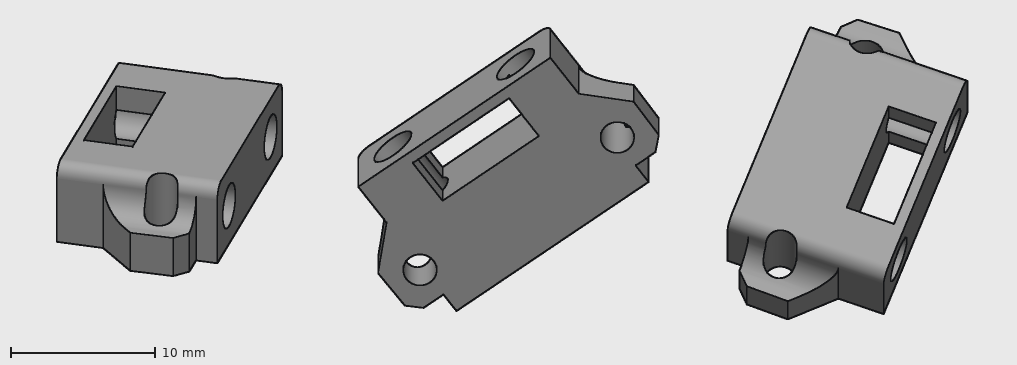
import cadquery as cq

width = 11.58
length = 21.93
height = 6.0
half_length = length / 2

body_length = 16.5
half_body = body_length / 2
edge_radius = 1.0

ear_height = 3.0
ear_root_x = 3.35
ear_tip_x = 6.07
ear_bevel_x = 9.15
ear_end_x = 10.05
ear_tip_drop = 0.07
ear_bevel_y = 9.95
root_radius = height - edge_radius - ear_height

screw_x = 7.59
screw_y = 8.46
screw_diameter = 2.32

bore_y = 5.26
bore_z = height / 2
bore_diameter = 3.2
window_start_x = 0.8
window_width = 3.5
window_length = 8.27


def make_body():
    """Plain block with rounded long top edges."""
    block = cq.Workplane("XY").box(width, body_length, height, centered=(False, True, False))
    return block.edges("|X and >Z").fillet(edge_radius)


def make_ear():
    """Ear on the +Y side, its top sweeping up to the body in a concave arc."""
    outline = (
        cq.Workplane("XY")
        .moveTo(ear_root_x, 0)
        .lineTo(ear_root_x, half_body)
        .lineTo(ear_tip_x, half_length)
        .lineTo(ear_bevel_x, half_length - ear_tip_drop)
        .lineTo(ear_end_x, ear_bevel_y)
        .lineTo(ear_end_x, 0)
        .close()
        .extrude(height)
    )
    root_top = ear_height + root_radius
    side_profile = (
        cq.Workplane("YZ")
        .lineTo(half_length, 0)
        .lineTo(half_length, ear_height)
        .lineTo(half_body + root_radius, ear_height)
        .radiusArc((half_body, root_top), root_radius)
        .lineTo(0, root_top)
        .close()
        .extrude(width)
    )
    return outline.intersect(side_profile)


def make_screw_holes():
    """Vertical through holes, one in each ear."""
    centres = [(screw_x, screw_y), (screw_x, -screw_y)]
    return cq.Workplane("XY").pushPoints(centres).circle(screw_diameter / 2).extrude(height)


def make_bores():
    """Pair of round bores along the whole width."""
    centres = [(bore_y, bore_z), (-bore_y, bore_z)]
    return cq.Workplane("YZ").pushPoints(centres).circle(bore_diameter / 2).extrude(width)


def make_window():
    """Rectangular opening through the full height."""
    return (
        cq.Workplane("XY")
        .box(window_width, window_length, height, centered=(False, True, False))
        .translate((window_start_x, 0, 0))
    )


ear = make_ear()
result = make_body().union(ear).union(ear.mirror("XZ"))
result = result.cut(make_screw_holes()).cut(make_bores()).cut(make_window())